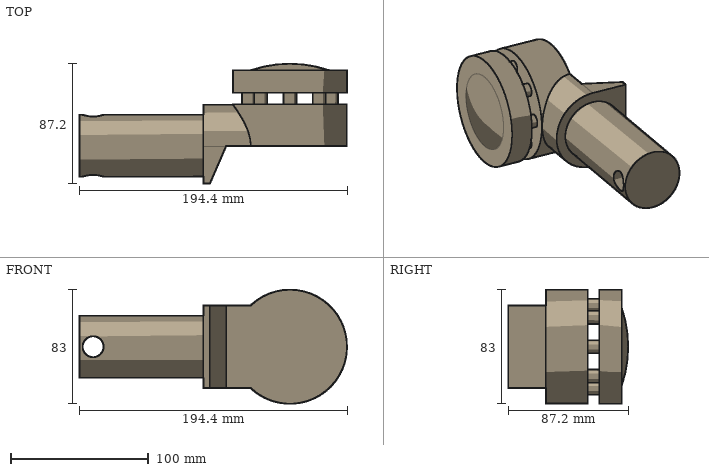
import cadquery as cq
import math

total_length = 194.42
total_depth = 87.23

shaft_diameter = 45.12
shaft_length = 90.0
cross_hole_diameter = 15.04
cross_hole_x = 10.0

neck_radius = 30.0
flat_face_y = -0.2

flange_height = 27.4
flange_root_length = 16.7
flange_tip_length = 4.8

lower_disc_diameter = 82.78
lower_disc_thickness = 30.4
gap = 8.2
upper_disc_diameter = 83.02
upper_disc_thickness = 16.5
pin_diameter = 9.62
pin_circle_radius = 30.1
pin_count = 8
dome_base_radius = 28.3

disc_x = total_length - upper_disc_diameter / 2
lower_disc_back_y = flat_face_y + lower_disc_thickness
upper_disc_front_y = lower_disc_back_y + gap
upper_disc_back_y = upper_disc_front_y + upper_disc_thickness
dome_height = total_depth - flange_height - lower_disc_thickness - gap - upper_disc_thickness


def cylinder_along_y(diameter, start_y, length, x=disc_x, z=0):
    axis_start = cq.Vector(x, start_y, z)
    return cq.Workplane(cq.Solid.makeCylinder(diameter / 2, length, axis_start, cq.Vector(0, 1, 0)))


def make_shaft():
    """Solid shaft with a hole through it near its free end."""
    shaft = cq.Workplane("YZ").circle(shaft_diameter / 2).extrude(shaft_length)
    cross_hole = cylinder_along_y(cross_hole_diameter, -shaft_diameter, 2 * shaft_diameter, cross_hole_x)
    return shaft.cut(cross_hole)


def make_neck():
    """Half cylinder along X that runs into the lower disc."""
    return (
        cq.Workplane("YZ", origin=(shaft_length, flat_face_y, 0))
        .moveTo(0, -neck_radius)
        .lineTo(0, neck_radius)
        .threePointArc((neck_radius, 0), (0, -neck_radius))
        .close()
        .extrude(disc_x - shaft_length)
    )


def make_flange():
    """Wedge as wide as the neck, thinning towards its tip."""
    return (
        cq.Workplane("XY", origin=(shaft_length, flat_face_y, 0))
        .polyline([
            (0, 0),
            (flange_root_length, 0),
            (flange_tip_length, -flange_height),
            (0, -flange_height),
        ])
        .close()
        .extrude(neck_radius, both=True)
    )


def make_pins():
    """Ring of pins joining the two discs."""
    pins = []
    for index in range(pin_count):
        angle = 2 * math.pi * index / pin_count
        pin_x = disc_x + pin_circle_radius * math.cos(angle)
        pin_z = pin_circle_radius * math.sin(angle)
        pins.append(cylinder_along_y(pin_diameter, lower_disc_back_y, gap, pin_x, pin_z))
    return pins


def make_dome():
    """Spherical cap on the back of the upper disc."""
    sphere_radius = (dome_base_radius ** 2 + dome_height ** 2) / (2 * dome_height)
    half_angle = math.asin(dome_base_radius / sphere_radius) / 2
    arc_drop = sphere_radius * (1 - math.cos(half_angle))
    return (
        cq.Workplane("XY", origin=(disc_x, upper_disc_back_y, 0))
        .lineTo(dome_base_radius, 0)
        .threePointArc(
            (sphere_radius * math.sin(half_angle), dome_height - arc_drop),
            (0, dome_height),
        )
        .close()
        .revolve(360, (0, 0, 0), (0, 1, 0))
    )


lower_disc = cylinder_along_y(lower_disc_diameter, flat_face_y, lower_disc_thickness)
upper_disc = cylinder_along_y(upper_disc_diameter, upper_disc_front_y, upper_disc_thickness)

result = make_shaft().union(make_neck()).union(make_flange()).union(lower_disc)
for pin in make_pins():
    result = result.union(pin)
result = result.union(upper_disc).union(make_dome())